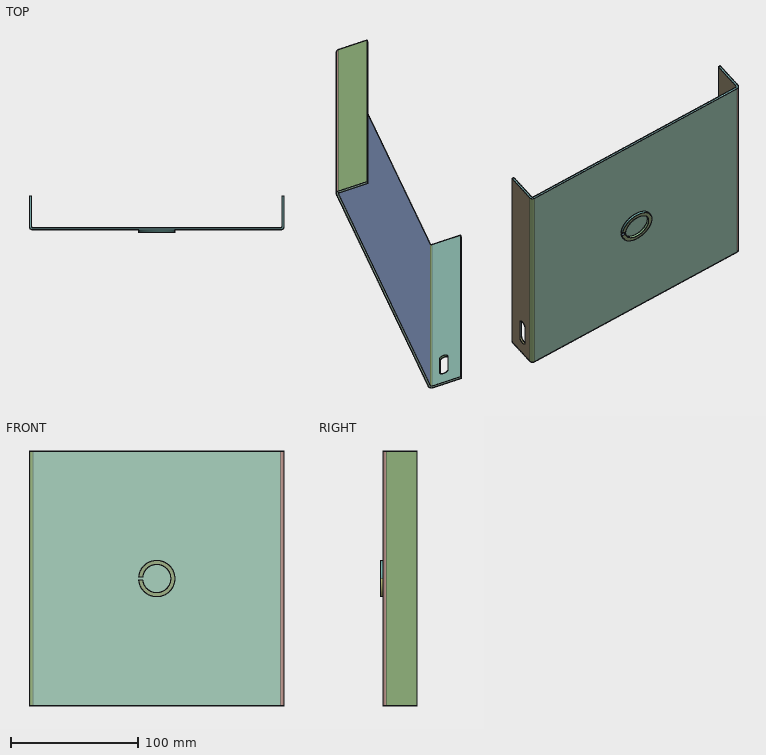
import cadquery as cq

PANEL_WIDTH = 200.66
PANEL_HEIGHT = 200.66
OVERALL_DEPTH = 28.82
RING_HEIGHT = 1.9
FLANGE_DEPTH = OVERALL_DEPTH - RING_HEIGHT
SHEET_THICKNESS = 1.8
BEND_INNER_RADIUS = 0.95
BEND_OUTER_RADIUS = BEND_INNER_RADIUS + SHEET_THICKNESS

RING_OUTER_DIAMETER = 28.575
RING_WALL = 3.175
RING_INNER_DIAMETER = RING_OUTER_DIAMETER - 2 * RING_WALL
RING_GAP = 2.2

SLOT_LENGTH = 25.4
SLOT_WIDTH = 7.14
SLOT_FROM_BACK_EDGE = 14.2
SLOT_FROM_BOTTOM = 25.4

LEFT_FACE_X = -PANEL_WIDTH / 2
BOTTOM_Z = -PANEL_HEIGHT / 2


def upright_block(width, front_y, corner_radius):
    """Full-height block from front_y to the flange edges, with rounded front corners."""
    depth = FLANGE_DEPTH - front_y
    return (
        cq.Workplane("XY")
        .box(width, depth, PANEL_HEIGHT, centered=(True, False, True))
        .translate((0, front_y, 0))
        .edges("|Z and <Y")
        .fillet(corner_radius)
    )


def make_channel():
    """U-shaped sheet with concentric inner and outer bends."""
    outside = upright_block(PANEL_WIDTH, 0, BEND_OUTER_RADIUS)
    inside_width = PANEL_WIDTH - 2 * SHEET_THICKNESS
    inside = upright_block(inside_width, SHEET_THICKNESS, BEND_INNER_RADIUS)
    return outside.cut(inside)


def make_split_ring():
    """Flat ring projecting toward -Y, split on its -X side."""
    ring = (
        cq.Workplane("XZ")
        .circle(RING_OUTER_DIAMETER / 2)
        .circle(RING_INNER_DIAMETER / 2)
        .extrude(RING_HEIGHT)
    )
    gap = (
        cq.Workplane("XZ")
        .rect(RING_OUTER_DIAMETER, RING_GAP)
        .extrude(RING_HEIGHT)
        .translate((-RING_OUTER_DIAMETER / 2, 0, 0))
    )
    return ring.cut(gap)


def make_flange_slot():
    """Cutter for the round-ended slot, passing through the -X flange only."""
    slot_y = FLANGE_DEPTH - SLOT_FROM_BACK_EDGE
    slot_z = BOTTOM_Z + SLOT_FROM_BOTTOM
    return (
        cq.Workplane("YZ", origin=(LEFT_FACE_X, slot_y, slot_z))
        .slot2D(SLOT_LENGTH, SLOT_WIDTH, 90)
        .extrude(SHEET_THICKNESS)
    )


result = make_channel().union(make_split_ring()).cut(make_flange_slot())